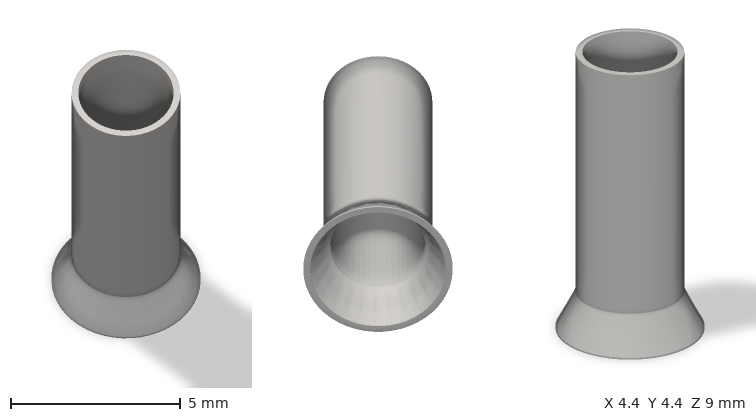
import cadquery as cq

length = 9.0
tube_diameter = 3.2
flare_diameter = 4.4
wall = 0.2
flare_height = 1.215
rim_height = 0.05

tube_radius = tube_diameter / 2
flare_radius = flare_diameter / 2
bore_radius = tube_radius - wall
mouth_radius = flare_radius - wall

half_section = [
    (mouth_radius, 0),
    (flare_radius, 0),
    (flare_radius, rim_height),
    (tube_radius, flare_height),
    (tube_radius, length),
    (bore_radius, length),
    (bore_radius, flare_height),
    (mouth_radius, rim_height),
]

result = (
    cq.Workplane("XZ")
    .polyline(half_section)
    .close()
    .revolve(360, (0, 0, 0), (0, 1, 0))
)